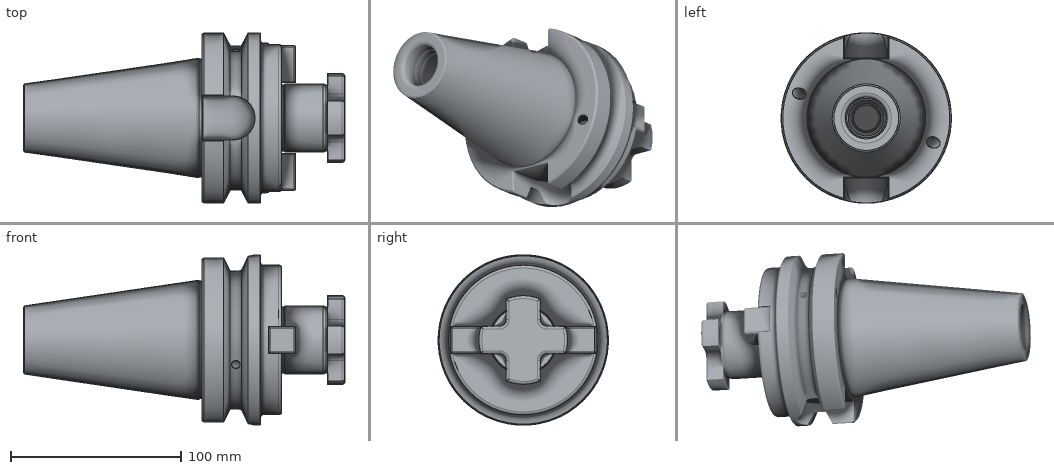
import cadquery as cq
import math


taper_length = 101.8
taper_end_radius = 20.0
gauge_radius = 35.0
taper_end_chamfer = 1.0
taper_end_chamfer_length = 0.47
relief_start = 103.0
relief_depth = 0.4

flange_face = 104.8
flange_radius = 50.0
flange_bevel_length = 1.1
flange_bevel_depth = 1.0
groove_left_crest = 117.5
groove_floor_start = 121.4
groove_floor_end = 128.0
groove_right_crest = 132.0
groove_radius = 42.5
flange_back = 139.3
flange_back_chamfer = 0.5

nose_radius = 44.0
nose_end = 151.6
nose_root_fillet = 1.3
nose_edge_fillet = 1.7

pilot_radius = 20.0
neck_radius = 19.5
neck_root_fillet = 0.8
neck_end = 153.7
pilot_chamfer_start = 176.0
pilot_chamfer_end = 177.7
pilot_end_radius = 19.5
pilot_end = 178.6

mouth_radius = 14.7
counterbore_radius = 12.3
counterbore_depth = 10.5
step_radius = 11.5
step_end = 15.1
thread_radius = 10.5
thread_end = 60.5
shank_radius = 8.5

keyway_width = 25.7
keyway_floor = 35.3
keyway_end = 136.0
keyway_chamfer = 0.5

key_start = 143.9
key_size = 16.0
key_inner = 21.0
key_outer = 42.7
key_chamfer = 1.0

coolant_angle = 20.0
coolant_radius = 3.2
coolant_pitch_radius = 42.0
coolant_slope = 38.0
coolant_length = 32.1
plug_radius = 2.5
plug_top = 42.0
plug_length = 5.0
plug_dimple_depth = 1.1
plug_x = (groove_floor_start + groove_floor_end) / 2

screw_end = 188.8
head_radius = 26.0
upright_lobe_width = 20.0
level_lobe_width = 16.2
lobe_root_radius = 4.0
head_edge_fillet = 1.7
shank_start = 124.6
shank_tip_radius = 7.5

both_sides = (0, 180)
axis_start = (0, 0, 0)
axis_end = (1, 0, 0)
radial = cq.Vector(0, 1, 0)


def turn(profile):
    """Close an outline given as (x, radius) points and revolve it about the X axis."""
    return profile.close().revolve(360, axis_start, axis_end)


def about_axis(body, angle):
    """Turn a body about the X axis by an angle in degrees."""
    return body.rotate(axis_start, axis_end, angle)


def holder_blank():
    """Turned outside of the holder, from the taper to the pilot."""
    relief_radius = gauge_radius - relief_depth
    pilot_step = pilot_radius - neck_radius
    outline = (
        cq.Workplane("XZ")
        .moveTo(0, 0)
        .lineTo(0, taper_end_radius - taper_end_chamfer)
        .lineTo(taper_end_chamfer_length, taper_end_radius)
        .lineTo(taper_length, gauge_radius)
        .lineTo(relief_start, gauge_radius)
        .lineTo(relief_start, relief_radius)
        .lineTo(flange_face, relief_radius)
        .lineTo(flange_face, flange_radius - flange_bevel_depth)
        .lineTo(flange_face + flange_bevel_length, flange_radius)
        .lineTo(groove_left_crest, flange_radius)
        .lineTo(groove_floor_start, groove_radius)
        .lineTo(groove_floor_end, groove_radius)
        .lineTo(groove_right_crest, flange_radius)
        .lineTo(flange_back - flange_back_chamfer, flange_radius)
        .lineTo(flange_back, flange_radius - flange_back_chamfer)
        .lineTo(flange_back, nose_radius + nose_root_fillet)
        .radiusArc((flange_back + nose_root_fillet, nose_radius), -nose_root_fillet)
        .lineTo(nose_end - nose_edge_fillet, nose_radius)
        .radiusArc((nose_end, nose_radius - nose_edge_fillet), nose_edge_fillet)
        .lineTo(nose_end, neck_radius + neck_root_fillet)
        .radiusArc((nose_end + neck_root_fillet, neck_radius), -neck_root_fillet)
        .lineTo(neck_end - pilot_step, neck_radius)
        .lineTo(neck_end, pilot_radius)
        .lineTo(pilot_chamfer_start, pilot_radius)
        .lineTo(pilot_chamfer_end, pilot_end_radius)
        .lineTo(pilot_end, pilot_end_radius)
        .lineTo(pilot_end, 0)
    )
    return turn(outline)


def bore():
    """Rounded mouth, counterbore, step, drawbar thread hole and the through hole for the screw."""
    mouth_rounding = mouth_radius - counterbore_radius
    thread_start = step_end + step_radius - thread_radius
    shank_hole_start = thread_end + thread_radius - shank_radius
    outline = (
        cq.Workplane("XZ")
        .moveTo(0, 0)
        .lineTo(0, mouth_radius)
        .radiusArc((mouth_rounding, counterbore_radius), -mouth_rounding)
        .lineTo(counterbore_depth, counterbore_radius)
        .lineTo(counterbore_depth, step_radius)
        .lineTo(step_end, step_radius)
        .lineTo(thread_start, thread_radius)
        .lineTo(thread_end, thread_radius)
        .lineTo(shank_hole_start, shank_radius)
        .lineTo(pilot_end, shank_radius)
        .lineTo(pilot_end, 0)
    )
    return turn(outline)


def keyway():
    """Slot open to the taper side, with a round end."""
    half_width = keyway_width / 2
    arc_center = keyway_end - half_width
    return (
        cq.Workplane("XY", origin=(0, 0, keyway_floor))
        .moveTo(flange_face, -half_width)
        .lineTo(arc_center, -half_width)
        .threePointArc((keyway_end, 0), (arc_center, half_width))
        .lineTo(flange_face, half_width)
        .close()
        .extrude(flange_radius - keyway_floor)
    )


def edges_in_keyways(body, x_range, height_range):
    """Edges centred in a stretch of both keyways, given by x and by distance above or below the axis."""
    half_width = keyway_width / 2 + keyway_chamfer
    near, far = height_range
    found = body.newObject([])
    for low, high in ((near, far), (-far, -near)):
        box = cq.selectors.BoxSelector((x_range[0], -half_width, low), (x_range[1], half_width, high))
        found = found.add(body.edges(box))
    return found


def chamfer_keyway_mouths(body):
    """Break the keyway edges in the flange face and along the flange rim."""
    bevel_end = flange_face + flange_bevel_length
    face_range = (flange_face - keyway_chamfer, bevel_end)
    face_edges = edges_in_keyways(body, face_range, (keyway_floor - keyway_chamfer, flange_radius))
    rim_edges = edges_in_keyways(body, (bevel_end, groove_left_crest), (groove_radius, flange_radius))
    return face_edges.add(rim_edges).chamfer(keyway_chamfer)


def key_block(outer):
    """Block on the -Y side, reaching from key_inner out to the given distance."""
    block = cq.Workplane("XY").box(key_size, outer - key_inner, key_size, centered=(False, False, True))
    return block.translate((key_start, -outer, 0))


def coolant_hole():
    """Slanted hole from the flange face towards the axis, on the +Y side."""
    slope = math.radians(coolant_slope)
    direction = cq.Vector(math.cos(slope), -math.sin(slope), 0)
    entry = cq.Vector(flange_face, coolant_pitch_radius, 0)
    overrun = 2 * coolant_radius
    hole = cq.Solid.makeCylinder(
        coolant_radius, coolant_length + overrun, entry - direction * overrun, direction
    )
    return about_axis(cq.Workplane(hole), coolant_angle)


def plug_blank(top):
    """Radial cylinder in the floor of the V-groove, on the +Y side."""
    bottom = cq.Vector(plug_x, plug_top - plug_length, 0)
    height = top - bottom.y
    return cq.Workplane(cq.Solid.makeCylinder(plug_radius, height, bottom, radial))


def make_holder():
    body = holder_blank().cut(bore())
    for angle in both_sides:
        body = body.cut(about_axis(keyway(), angle))
    body = chamfer_keyway_mouths(body)
    for angle in both_sides:
        body = body.cut(about_axis(key_block(nose_radius), angle))
        body = body.cut(about_axis(coolant_hole(), angle))
        body = body.cut(about_axis(plug_blank(flange_radius), angle + coolant_angle))
    return body


def make_drive_key(angle):
    """Square key, chamfered round its outer face and along its two long back edges."""
    key = key_block(key_outer)
    key = key.faces("<Y").edges().chamfer(key_chamfer)
    key = key.faces(">X").edges("|Y").chamfer(key_chamfer)
    return about_axis(key, angle)


def make_plug(angle):
    """Cylindrical plug with a conical dimple in its outer end."""
    tip = cq.Vector(plug_x, plug_top - plug_dimple_depth, 0)
    dimple = cq.Solid.makeCone(0, plug_radius, plug_dimple_depth, tip, radial)
    plug = plug_blank(plug_top).cut(cq.Workplane(dimple))
    return about_axis(plug, angle + coolant_angle)


def make_screw():
    """Screw with a four-lobed head and a shank that fills the through hole."""
    head_length = screw_end - pilot_end
    plane = cq.Workplane("YZ", origin=(pilot_end, 0, 0))
    upright = plane.rect(upright_lobe_width, 2 * head_radius).extrude(head_length)
    level = plane.rect(2 * head_radius, level_lobe_width).extrude(head_length)
    cross = upright.union(level)
    inner_corners = cq.selectors.BoxSelector(
        (pilot_end, -upright_lobe_width, -level_lobe_width),
        (screw_end, upright_lobe_width, level_lobe_width),
    )
    cross = cross.edges("|X").edges(inner_corners).fillet(lobe_root_radius)
    head = cross.intersect(plane.circle(head_radius).extrude(head_length))
    head = head.faces(">X").edges().fillet(head_edge_fillet)
    tip_chamfer = shank_radius - shank_tip_radius
    shank = (
        cq.Workplane("YZ", origin=(shank_start, 0, 0))
        .circle(shank_radius)
        .extrude(pilot_end - shank_start)
        .faces("<X")
        .chamfer(tip_chamfer)
    )
    return head.union(shank)


holder = make_holder()
screw = make_screw()
drive_keys = [make_drive_key(angle) for angle in both_sides]
plugs = [make_plug(angle) for angle in both_sides]

result = cq.Compound.makeCompound(
    [
        holder.val(),
        screw.val(),
        *[key.val() for key in drive_keys],
        *[plug.val() for plug in plugs],
    ]
)